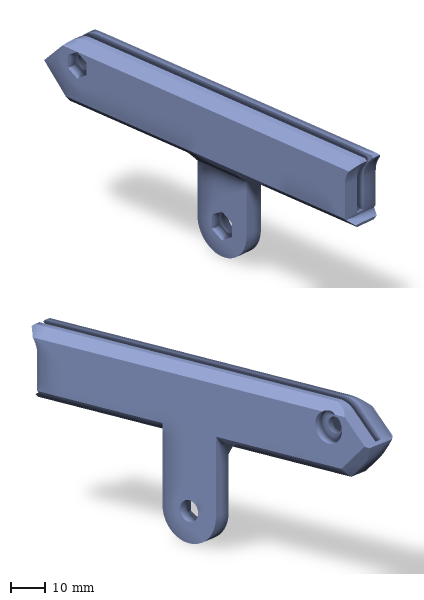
import cadquery as cq
import math


hexagon_half_angle = 30

tangent_ratio = math.tan(math.pi / 8)

bar_length = 127.02
bar_width = 13.0
bar_height = 22.2
edge_chamfer = 3.0
half_width = bar_width / 2

tip_z = -11.2
lower_face_offset = 14.0
lower_round_end_x = 3.7
nose_bottom_x = bar_height - lower_face_offset
top_round_radius = 7.6

end_face_x = 123.0
beak_flat_x = 126.3
beak_tip_z = -0.6
end_round_radius = 8.0
lip_angle = 30.0
lip_tip_x = 125.35
lip_tip_z = -21.2
lip_bottom_x = 125.1

slot_width = 2.7
slot_floor_z = -19.0
slot_nose_x = 9.5

nose_hole_x = 14.2
nose_hole_z = -7.4
nose_hole_diameter = 5.0
nose_nut_flats = 7.5
nose_nut_depth = 3.0
nose_counterbore_diameter = 10.0
nose_counterbore_depth = 3.0

overall_height = 54.24
lug_width = 20.0
lug_thickness = 6.0
lug_x = 66.3
lug_hole_diameter = 6.7
lug_nut_flats = 8.2
lug_nut_depth = 3.0
lug_radius = lug_width / 2
lug_z = lug_radius - overall_height
lug_front_y = half_width - lug_thickness


def extrude_across(outline, y_front, y_back):
    """Extrude a closed XZ outline between two Y positions."""
    return outline.extrude(y_back - y_front).translate((0, y_back, 0))


def hexagon_pocket(x, z, flats, y_front, depth):
    """Hexagonal nut pocket with two corners pointing up and down, sunk in from its front face."""
    corner_diameter = flats / math.cos(math.radians(hexagon_half_angle))
    outline = cq.Workplane("XZ").polygon(6, corner_diameter)
    pocket = extrude_across(outline, y_front, y_front + depth)
    return pocket.rotate((0, 0, 0), (0, 1, 0), hexagon_half_angle).translate((x, 0, z))


def hole(x, z, diameter, y_front, y_back):
    """Round hole along Y."""
    return extrude_across(cq.Workplane("XZ").center(x, z).circle(diameter / 2), y_front, y_back)


def chamfered_blank():
    """Bar with a sharp nose and chamfers along the top, the bottom and the lower nose face."""
    sharp_tip_x = (-tip_z - lower_face_offset) / 2
    outline = (
        cq.Workplane("XZ")
        .moveTo(-tip_z, 0)
        .lineTo(sharp_tip_x, tip_z + sharp_tip_x)
        .lineTo(nose_bottom_x, -bar_height)
        .lineTo(bar_length, -bar_height)
        .lineTo(bar_length, 0)
        .close()
    )
    blank = extrude_across(outline, -half_width, half_width)
    lengthwise = blank.faces("|Y").edges("|X")
    lower_nose = blank.faces("|Y").edges(cq.selectors.ParallelDirSelector(cq.Vector(1, 0, -1)))
    return lengthwise.add(lower_nose).chamfer(edge_chamfer)


def side_outline():
    """Side outline of the bar with its rounded nose and concave far end."""
    diagonal = math.sqrt(0.5)
    top_tangent = top_round_radius * tangent_ratio
    top_round_start_x = -tip_z - top_tangent * diagonal
    end_tangent = end_round_radius * tangent_ratio
    end_corner_z = beak_tip_z - (bar_length - end_face_x)
    lip_root_z = lip_tip_z + (lip_tip_x - end_face_x) * math.tan(math.radians(lip_angle))
    return (
        cq.Workplane("XZ")
        .moveTo(nose_bottom_x, -bar_height)
        .lineTo(lower_round_end_x, -lower_round_end_x - lower_face_offset)
        .tangentArcPoint((0, tip_z), relative=False)
        .lineTo(top_round_start_x, tip_z + top_round_start_x)
        .tangentArcPoint((-tip_z + top_tangent, 0), relative=False)
        .lineTo(beak_flat_x, 0)
        .lineTo(bar_length, beak_tip_z)
        .lineTo(end_face_x + end_tangent * diagonal, end_corner_z + end_tangent * diagonal)
        .tangentArcPoint((end_face_x, end_corner_z - end_tangent), relative=False)
        .lineTo(end_face_x, lip_root_z)
        .lineTo(lip_tip_x, lip_tip_z)
        .lineTo(lip_bottom_x, -bar_height)
        .close()
    )


def bar():
    return chamfered_blank().intersect(extrude_across(side_outline(), -half_width, half_width))


def slot():
    """Slot open at the top and at both ends, with a floor parallel to the lower nose face and bottom."""
    outline = (
        cq.Workplane("XZ")
        .moveTo(slot_nose_x, slot_floor_z)
        .lineTo(slot_nose_x + slot_floor_z, 0)
        .lineTo(bar_length, 0)
        .lineTo(bar_length, slot_floor_z)
        .close()
    )
    return extrude_across(outline, -slot_width / 2, slot_width / 2)


def lug():
    """Round-ended lug flush with the back of the bar, with a 45 degree web continuing the front chamfer."""
    root_z = edge_chamfer - bar_height
    plate_outline = (
        cq.Workplane("XZ")
        .moveTo(lug_x - lug_radius, root_z)
        .lineTo(lug_x - lug_radius, lug_z)
        .threePointArc((lug_x, lug_z - lug_radius), (lug_x + lug_radius, lug_z))
        .lineTo(lug_x + lug_radius, root_z)
        .close()
    )
    plate = extrude_across(plate_outline, lug_front_y, half_width)
    web = (
        cq.Workplane("YZ")
        .moveTo(-half_width, root_z)
        .lineTo(lug_front_y, root_z - (lug_front_y + half_width))
        .lineTo(lug_front_y, root_z)
        .close()
        .extrude(lug_width)
        .translate((lug_x - lug_radius, 0, 0))
    )
    return plate.union(web)


def nose_fastening():
    """Screw hole, nut pocket and counterbore of the nose."""
    counterbore_front_y = half_width - nose_counterbore_depth
    return (
        hole(nose_hole_x, nose_hole_z, nose_hole_diameter, -half_width, half_width)
        .union(hexagon_pocket(nose_hole_x, nose_hole_z, nose_nut_flats, -half_width, nose_nut_depth))
        .union(hole(nose_hole_x, nose_hole_z, nose_counterbore_diameter, counterbore_front_y, half_width))
    )


def lug_fastening():
    """Screw hole and nut pocket of the lug."""
    return hole(lug_x, lug_z, lug_hole_diameter, lug_front_y, half_width).union(
        hexagon_pocket(lug_x, lug_z, lug_nut_flats, lug_front_y, lug_nut_depth)
    )


result = bar().union(lug()).cut(slot()).cut(nose_fastening()).cut(lug_fastening())